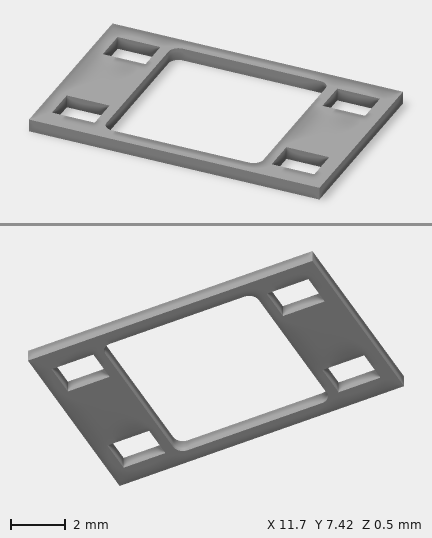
import cadquery as cq

plate_length = 11.66
plate_width = 7.42
plate_thickness = 0.5

window_side = 6.3
window_corner_radius = 0.4

opening_length = 1.71
opening_width = 1.32
opening_spacing_x = 8.81
opening_spacing_y = 4.51


def make_plate():
    return cq.Workplane("XY").box(plate_length, plate_width, plate_thickness)


def make_window():
    window = cq.Workplane("XY").box(window_side, window_side, plate_thickness)
    return window.edges("|Z").fillet(window_corner_radius)


def make_openings():
    return (
        cq.Workplane("XY")
        .rarray(opening_spacing_x, opening_spacing_y, 2, 2)
        .box(opening_length, opening_width, plate_thickness)
    )


result = make_plate().cut(make_window()).cut(make_openings())